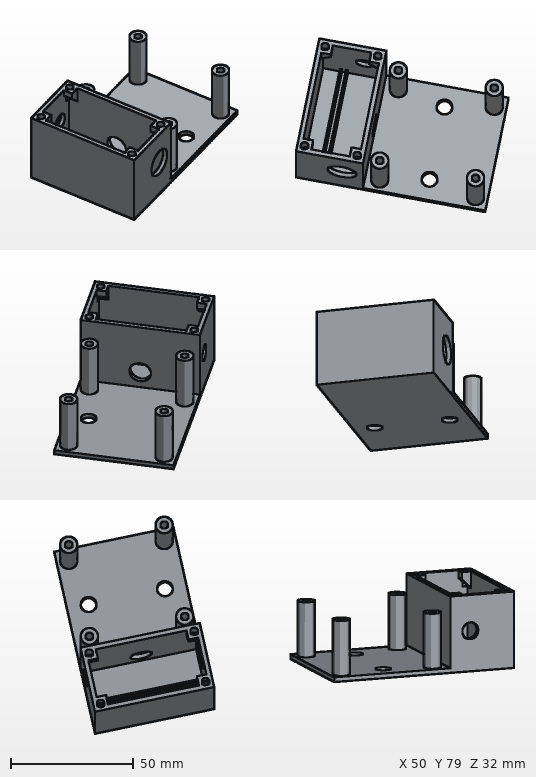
import cadquery as cq

width = 50.0
length = 79.0
height = 32.0
box_depth = 28.0
wall = 2.0
plate_thickness = 2.0
center_x = width / 2

post_diameter = 7.1
post_bore = 3.1
post_top = 25.0
post_inset = 5.0
post_pitch = 40.0
post_xs = (post_inset, width - post_inset)
post_ys = (length - post_inset - post_pitch, length - post_inset)

plate_hole_diameter = 6.4
plate_hole_pitch = 32.0
plate_hole_y = sum(post_ys) / 2

block_size = 4.0
block_tip_height = 3.0
block_root_height = block_tip_height + block_size
screw_diameter = 3.1
screw_depth = block_root_height
screw_inset = 3.0

side_hole_y = 19.25
side_hole_z = 17.0
left_hole_diameter = 7.0
right_hole_diameter = 12.0
back_hole_diameter = 9.0
back_hole_z = 9.5

rib_thickness = 0.9
rib_height = 3.0
board_slot = 1.6
first_rib_y = 9.0


def make_body():
    plate = cq.Workplane("XY").box(width, length, plate_thickness, centered=False)
    box = cq.Workplane("XY").box(width, box_depth, height, centered=False)
    cavity = (
        cq.Workplane("XY", origin=(wall, wall, plate_thickness))
        .box(width - 2 * wall, box_depth - 2 * wall, height, centered=False)
    )
    return plate.union(box.cut(cavity))


def add_posts(body):
    for x in post_xs:
        for y in post_ys:
            base = cq.Workplane("XY", origin=(x, y, plate_thickness))
            post_height = post_top - plate_thickness
            post = base.circle(post_diameter / 2).circle(post_bore / 2).extrude(post_height)
            body = body.union(post)
    return body


def cut_plate_holes(body):
    for x in (center_x - plate_hole_pitch / 2, center_x + plate_hole_pitch / 2):
        hole = cq.Workplane("XY", origin=(x, plate_hole_y, 0))
        body = body.cut(hole.circle(plate_hole_diameter / 2).extrude(plate_thickness))
    return body


def add_screw_blocks(body):
    """Blocks whose undersides slope at 45 degrees down to the front and back walls."""
    for wall_y, inward in ((wall, 1), (box_depth - wall, -1)):
        tip_y = wall_y + inward * block_size
        for start_x in (wall, width - wall - block_size):
            block = (
                cq.Workplane("YZ", origin=(start_x, 0, 0))
                .moveTo(wall_y, height)
                .lineTo(tip_y, height)
                .lineTo(tip_y, height - block_tip_height)
                .lineTo(wall_y, height - block_root_height)
                .close()
                .extrude(block_size)
            )
            body = body.union(block)
    return body


def cut_screw_holes(body):
    for x in (screw_inset, width - screw_inset):
        for y in (screw_inset, box_depth - screw_inset):
            hole = cq.Workplane("XY", origin=(x, y, height))
            body = body.cut(hole.circle(screw_diameter / 2).extrude(-screw_depth))
    return body


def cut_wall_holes(body):
    for start_x, diameter in ((0, left_hole_diameter), (width - wall, right_hole_diameter)):
        hole = cq.Workplane("YZ", origin=(start_x, side_hole_y, side_hole_z))
        body = body.cut(hole.circle(diameter / 2).extrude(wall))
    back_hole = cq.Workplane("XZ", origin=(center_x, box_depth, back_hole_z))
    return body.cut(back_hole.circle(back_hole_diameter / 2).extrude(wall))


def add_floor_ribs(body):
    for y in (first_rib_y, first_rib_y + rib_thickness + board_slot):
        rib = (
            cq.Workplane("XY", origin=(wall, y, plate_thickness))
            .box(width - 2 * wall, rib_thickness, rib_height, centered=False)
        )
        body = body.union(rib)
    return body


result = make_body()
result = add_posts(result)
result = cut_plate_holes(result)
result = add_screw_blocks(result)
result = cut_screw_holes(result)
result = cut_wall_holes(result)
result = add_floor_ribs(result)